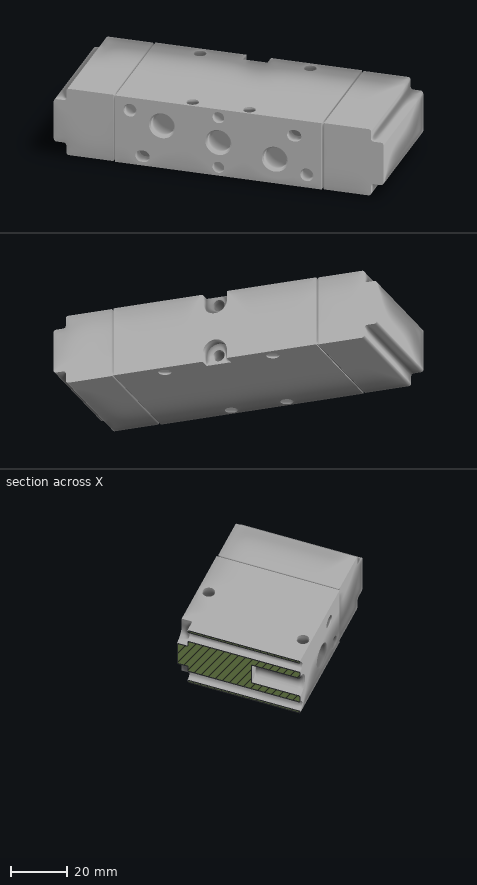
import cadquery as cq

length = 123.0
height = 26.0

body_length = 77.0
body_depth = 47.0

cap_depth = 46.2
cap_inner_x = 39.0
shoulder_x = 56.8
tip_height = 16.6
cap_radius = 1.0
joint_radius = 0.5

neck_recess = 0.5

port_diameter = 8.6
port_mouth_diameter = 9.7
port_depth = 18.5
port_chamfer = (port_mouth_diameter - port_diameter) / 2
port_centers = [(-21.0, 3.6), (0, 0), (21.0, -3.6)]

screw_diameter = 4.2
screw_mouth_diameter = 4.9
screw_depth = 9.8
screw_chamfer = (screw_mouth_diameter - screw_diameter) / 2
screw_centers = [(-33.0, 8.0), (33.0, -8.0)]

locator_length = 5.3
locator_width = 4.4
locator_depth = 4.9
locator_centers = [(-28.3, -9.3), (28.3, 6.6)]

bolt_diameter = 4.3
bolt_z = 9.7
head_width = 9.2
head_depth = 4.0

mount_diameter = 4.5
rear_mount_x = 20.5
rear_mount_y = 19.4
front_mount_x = 10.6
front_mount_y = -20.4


def front_plane(y):
    """XZ plane at the given y; a negative extrusion goes towards +Y."""
    return cq.Workplane("XZ", origin=(0, y, 0))


def make_cap():
    """Right-hand end cap with rounded steps and joint edges."""
    outer_x = length / 2
    block = cq.Workplane("XY").box(shoulder_x - cap_inner_x, cap_depth, height)
    block = block.translate(((shoulder_x + cap_inner_x) / 2, 0, 0))
    tip = cq.Workplane("XY").box(outer_x - cap_inner_x, cap_depth, tip_height)
    tip = tip.translate(((outer_x + cap_inner_x) / 2, 0, 0))
    middle_x = (cap_inner_x + shoulder_x) / 2
    step_edges = cq.selectors.BoxSelector(
        (middle_x, -cap_depth, -height), (length, cap_depth, height)
    )
    cap = block.union(tip).edges("|Y").edges(step_edges).fillet(cap_radius)
    return cap.faces("<X").edges("|Y or |Z").fillet(joint_radius)


def drill_front(solid, centers, diameter, depth, chamfer):
    """Blind holes in the front face with chamfered mouths."""
    radius = diameter / 2
    profile = (
        cq.Workplane("XY")
        .moveTo(0, 0)
        .lineTo(radius + chamfer, 0)
        .lineTo(radius, chamfer)
        .lineTo(radius, depth)
        .lineTo(0, depth)
        .close()
    )
    cutter = profile.revolve(360, (0, 0, 0), (0, 1, 0))
    for x, z in centers:
        solid = solid.cut(cutter.translate((x, -body_depth / 2, z)))
    return solid


result = cq.Workplane("XY").box(body_length, body_depth, height)
result = result.union(
    cq.Workplane("XY").box(
        2 * cap_inner_x, cap_depth - 2 * neck_recess, height - 2 * neck_recess
    )
)
right_cap = make_cap()
result = result.union(right_cap).union(right_cap.mirror("YZ"))

result = drill_front(result, port_centers, port_diameter, port_depth, port_chamfer)
result = drill_front(result, screw_centers, screw_diameter, screw_depth, screw_chamfer)

locators = (
    front_plane(-body_depth / 2)
    .pushPoints(locator_centers)
    .slot2D(locator_length, locator_width)
    .extrude(-locator_depth)
)
result = result.cut(locators)

bolts = (
    front_plane(0)
    .pushPoints([(0, bolt_z), (0, -bolt_z)])
    .circle(bolt_diameter / 2)
    .extrude(body_depth, both=True)
)
result = result.cut(bolts)
pocket_y = body_depth / 2 - head_depth
for side in (1, -1):
    round_end = front_plane(pocket_y).center(0, side * bolt_z)
    pocket = round_end.circle(head_width / 2).extrude(-head_depth)
    open_end = (
        front_plane(pocket_y)
        .center(0, side * (bolt_z + height / 2))
        .rect(head_width, height)
        .extrude(-head_depth)
    )
    result = result.cut(pocket).cut(open_end)

mount_centers = [(side * rear_mount_x, rear_mount_y) for side in (1, -1)]
mount_centers += [(side * front_mount_x, front_mount_y) for side in (1, -1)]
mounts = (
    cq.Workplane("XY")
    .pushPoints(mount_centers)
    .circle(mount_diameter / 2)
    .extrude(height, both=True)
)
result = result.cut(mounts)